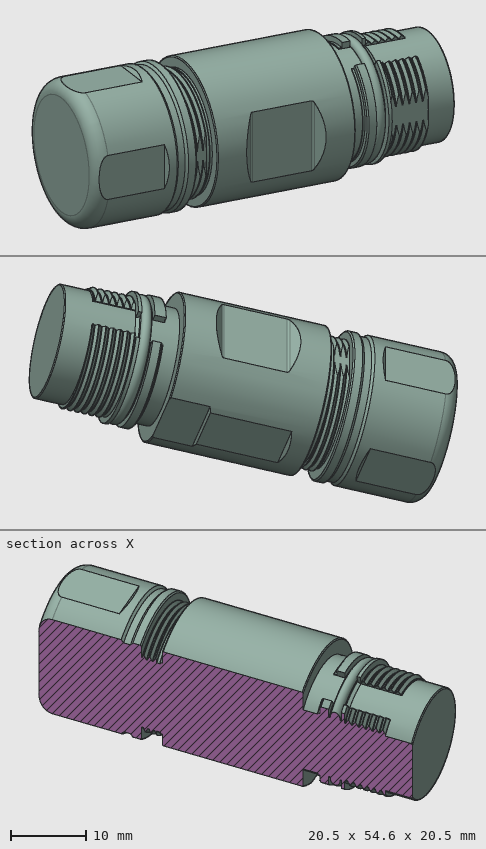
import cadquery as cq
import math


total_length = 54.55
cap_end = 12.4
ring_start = 13.4
ring_end = 15.04
rear_thread_end = 17.25
relief_start = 17.7
body_start = 18.03
body_end = 38.6
shelf_start = 40.7
collar_start = 41.0
collar_end = 42.35
flange_start = 44.15
flange_end = 44.65
plug_thread_end = 50.6

body_radius = 10.25
groove_radius = 9.9
relief_radius = 8.75
rear_root_radius = 8.58
rear_crest_radius = 9.05
neck_radius = 8.05
shelf_radius = 8.2
collar_radius = 9.0
plug_radius = 7.8
plug_root_radius = 7.92
plug_crest_radius = 8.35
oring_outer_radius = 8.85
oring_tube_radius = 0.75

cap_face_radius = 8.2
cap_round_length = 2.0
ring_chamfer = 0.2
groove_chamfer = body_radius - groove_radius
body_chamfer = 0.15
plug_chamfer = 0.15
collar_chamfer = 0.2

rear_pitch = 0.85
rear_crest_at_top = 15.25
plug_pitch = 1.0
plug_crest_at_top = 45.06
thread_land = 0.1
thread_base = 0.9
thread_lead_turns = 1
thread_overlap = 0.02
rear_clip_x = 8.55
plug_clip_x = plug_radius

cap_flat_count = 4
cap_flat_distance = 9.75
cap_flat_end = 10.4
grip_flat_distance = 8.93
grip_flat_start = 23.7
grip_flat_end = 32.87
grip_edge_round = 0.5
label_flat_distance = 9.48
label_flat_start = 21.35
label_pad_distance = 9.78
label_pad_end = 33.0

top_gap = (54.0, 83.0)
collar_gaps = (top_gap, (180.0, 206.0))
thread_gaps = (top_gap, (170.0, 200.5))

ramp_middle = 40.95
ramp_rise = 0.2

clearance = 1.0


def turned(points):
    """Solid of revolution about Y from (radius, y) points."""
    return cq.Workplane("XY").polyline(points).close().revolve(360, (0, 0, 0), (0, 1, 0))


def disc(radius, start, end, chamfer_start=0.0, chamfer_end=0.0):
    """Cylinder along Y with optional chamfers at its two ends."""
    solid = turned([(0, start), (radius, start), (radius, end), (0, end)])
    if chamfer_start:
        solid = solid.faces("<Y").chamfer(chamfer_start)
    if chamfer_end:
        solid = solid.faces(">Y").chamfer(chamfer_end)
    return solid


def sector(start_angle, end_angle, start, end):
    """Wedge along Y between two angles, reaching past the whole part."""
    reach = 2 * body_radius
    first = math.radians(start_angle)
    last = math.radians(end_angle)
    return (
        cq.Workplane("XZ", origin=(0, end, 0))
        .moveTo(0, 0)
        .lineTo(reach * math.cos(first), reach * math.sin(first))
        .lineTo(reach * math.cos(last), reach * math.sin(last))
        .close()
        .extrude(end - start)
    )


def flat_cutter(distance, start, end, start_slope=True, end_slope=True, edge_round=0.0):
    """Removes everything beyond z = distance, with 45 degree end slopes."""
    height = body_radius + clearance - distance
    start_run = height if start_slope else 0
    end_run = height if end_slope else 0
    cutter = (
        cq.Workplane("YZ")
        .moveTo(start, distance)
        .lineTo(end, distance)
        .lineTo(end + end_run, distance + height)
        .lineTo(start - start_run, distance + height)
        .close()
        .extrude(body_radius, both=True)
    )
    if edge_round:
        cutter = cutter.faces("<Z").edges("|X").fillet(edge_round)
    return cutter


def about_axis(solid, angle):
    return solid.rotate((0, 0, 0), (0, 1, 0), angle)


def thread(root, crest, pitch, crest_at_top, start, end, clip_x):
    """Helical ridge on a root cylinder, trimmed to its length and side flats."""
    length_turns = math.ceil((end - start) / pitch)
    turns_to_top = 0.75
    first_y = crest_at_top - (thread_lead_turns + turns_to_top) * pitch
    turns = length_turns + 2 * (thread_lead_turns + 1)
    base = root - thread_overlap
    path = cq.Wire.makeHelix(pitch, turns * pitch, base)
    ridge = (
        cq.Workplane("XZ")
        .polyline([
            (base, -thread_base * pitch / 2),
            (crest, -thread_land * pitch / 2),
            (crest, thread_land * pitch / 2),
            (base, thread_base * pitch / 2),
        ])
        .close()
        .sweep(cq.Workplane(obj=path), isFrenet=True)
        .rotate((0, 0, 0), (1, 0, 0), -90)
        .translate((0, first_y, 0))
    )
    trim = cq.Workplane("XY").box(2 * clip_x, 2 * total_length, 4 * crest)
    envelope = disc(crest + clearance, start, end).intersect(trim)
    core = disc(root, start, end).intersect(trim)
    return core.union(ridge.intersect(envelope))


def rear_cap():
    round_depth = body_radius - cap_face_radius
    arc_share = 1 - math.sqrt(0.5)
    round_middle = (body_radius - round_depth * arc_share, cap_round_length * arc_share)
    cap = (
        cq.Workplane("XY")
        .moveTo(0, 0)
        .lineTo(cap_face_radius, 0)
        .threePointArc(round_middle, (body_radius, cap_round_length))
        .lineTo(body_radius, cap_end - groove_chamfer)
        .lineTo(groove_radius, cap_end)
        .lineTo(0, cap_end)
        .close()
        .revolve(360, (0, 0, 0), (0, 1, 0))
    )
    flat = flat_cutter(cap_flat_distance, -clearance, cap_flat_end, start_slope=False)
    for index in range(cap_flat_count):
        cap = cap.cut(about_axis(flat, index * 360 / cap_flat_count))
    return cap


def clamping_ring():
    groove_floor = disc(groove_radius, cap_end, ring_start)
    ring = disc(body_radius, ring_start, ring_end, groove_chamfer, ring_chamfer)
    return groove_floor.union(ring)


def rear_thread():
    relief = disc(relief_radius, relief_start, body_start)
    land = disc(rear_root_radius, rear_thread_end, relief_start)
    ridge = thread(
        rear_root_radius, rear_crest_radius, rear_pitch, rear_crest_at_top,
        ring_end, rear_thread_end, rear_clip_x,
    )
    return ridge.union(land).union(relief)


def main_body():
    body = disc(body_radius, body_start, body_end, body_chamfer, body_chamfer)
    grip = flat_cutter(grip_flat_distance, grip_flat_start, grip_flat_end, edge_round=grip_edge_round)
    for angle in (90, -90):
        body = body.cut(about_axis(grip, angle))
    pad_cut = flat_cutter(label_pad_distance, label_flat_start, body_end + clearance)
    label_cut = flat_cutter(label_flat_distance, label_pad_end, body_end + clearance)
    for cutter in (pad_cut, label_cut):
        body = body.cut(about_axis(cutter, 180))
    return body


def locking_collar():
    """Flange and collar around the O-ring seat, interrupted by the gaps."""
    flange = disc(collar_radius, flange_start, flange_end)
    shelf = disc(shelf_radius, shelf_start, collar_end)
    collar = disc(collar_radius, collar_start, collar_end, collar_chamfer)

    ramp_sector = sector(collar_gaps[0][1], collar_gaps[1][0], shelf_start, collar_end)
    slope = ramp_rise / (collar_radius * math.sqrt(0.5))
    reach = 2 * collar_radius
    ramp = (
        cq.Workplane(cq.Plane(origin=(0, ramp_middle, 0), xDir=(1, 0, 1), normal=(-1, 0, 1)))
        .moveTo(-reach, -reach * slope)
        .lineTo(reach, reach * slope)
        .lineTo(reach, collar_end - ramp_middle)
        .lineTo(-reach, collar_end - ramp_middle)
        .close()
        .extrude(reach, both=True)
    )
    collar = collar.cut(ramp_sector)
    ramped = disc(collar_radius, shelf_start, collar_end).intersect(ramp_sector).intersect(ramp)
    rings = flange.union(shelf).union(collar).union(ramped)
    for first, last in collar_gaps:
        rings = rings.cut(sector(first, last, shelf_start, flange_end))
    return rings


def plug_end():
    neck = disc(neck_radius, body_end, flange_start)
    seat_cone = turned([
        (0, flange_start), (neck_radius, flange_start), (plug_radius, flange_end), (0, flange_end),
    ])
    oring_middle = (collar_end + flange_start) / 2
    oring_center = oring_outer_radius - oring_tube_radius
    oring = (
        cq.Workplane("XY")
        .moveTo(0, oring_middle - oring_tube_radius)
        .lineTo(oring_center, oring_middle - oring_tube_radius)
        .threePointArc(
            (oring_outer_radius, oring_middle),
            (oring_center, oring_middle + oring_tube_radius),
        )
        .lineTo(0, oring_middle + oring_tube_radius)
        .close()
        .revolve(360, (0, 0, 0), (0, 1, 0))
    )
    sleeve = disc(plug_radius, flange_end, total_length, 0, plug_chamfer)
    ridge = thread(
        plug_root_radius, plug_crest_radius, plug_pitch, plug_crest_at_top,
        flange_end, plug_thread_end, plug_clip_x,
    )
    for first, last in thread_gaps:
        ridge = ridge.cut(sector(first, last, flange_end, plug_thread_end))
    return neck.union(seat_cone).union(locking_collar()).union(oring).union(ridge).union(sleeve)


result = (
    rear_cap()
    .union(clamping_ring())
    .union(rear_thread())
    .union(main_body())
    .union(plug_end())
)